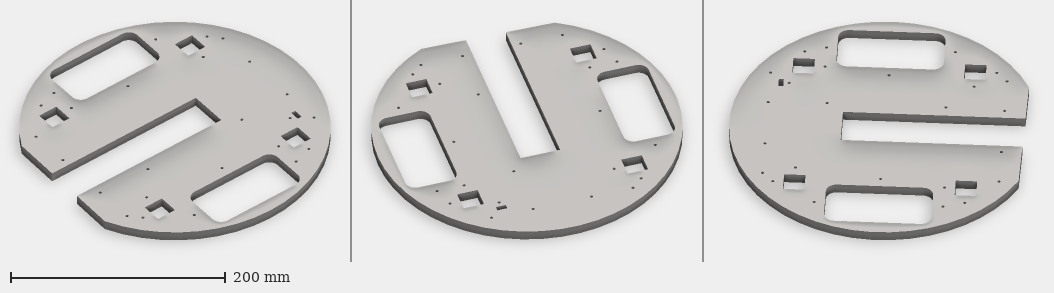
import cadquery as cq
import math

disc_radius = 145.0
thickness = 10.0

flat_left_y = -128.5
flat_right_y = -131.0

slot_width = 38.5
slot_center_x = -0.5
slot_end_y = 40.0

window_width = 50.0
window_length = 100.0
window_corner_radius = 10.0
window_center_x = 106.5

square_size = 20.0
square_offset = 80.0
square_hole_distance = 20.0

notch_width = 10.0
notch_height = 4.5
notch_x = 56.0
notch_y = 99.8
notch_hole_y = 92.2

hole_diameter = 3.0
row_y = 110.2
row_inner_x = 28.5
row_outer_x = 69.0
window_hole_x = 106.5
window_hole_y = 60.0
axis_hole_x = 71.3
slot_hole_x = 30.2
slot_hole_y = 55.5


def cutter(points):
    """Workplane on the bottom face of the disc with the given points selected."""
    return cq.Workplane("XY").workplane(offset=-thickness / 2).pushPoints(points)


def make_blank():
    """Disc with the flat cut along a chord; thickness centered on Z = 0."""
    left_x = -math.sqrt(disc_radius**2 - flat_left_y**2)
    right_x = math.sqrt(disc_radius**2 - flat_right_y**2)
    return (
        cq.Workplane("XY")
        .moveTo(left_x, flat_left_y)
        .threePointArc((0, disc_radius), (right_x, flat_right_y))
        .close()
        .extrude(thickness / 2, both=True)
    )


def make_slot():
    """Box from the slot end out past the rim."""
    length = slot_end_y + disc_radius
    center_y = slot_end_y - length / 2
    return cutter([(slot_center_x, center_y)]).rect(slot_width, length).extrude(thickness)


def make_windows():
    centers = [(-window_center_x, 0), (window_center_x, 0)]
    boxes = cutter(centers).rect(window_width, window_length).extrude(thickness)
    return boxes.edges("|Z").fillet(window_corner_radius)


def square_holes():
    """Two holes beside each square; the pattern turns by 90 degrees per square."""
    first_pair = [
        (square_offset + square_hole_distance, square_offset),
        (square_offset, square_offset - square_hole_distance),
    ]
    points = []
    for x, y in first_pair:
        points += [(x, y), (-y, x), (-x, -y), (y, -x)]
    return points


def hole_points():
    points = square_holes()
    for side in (-1, 1):
        points.append((side * axis_hole_x, 0))
        points.append((slot_hole_x, side * slot_hole_y))
        for end in (-1, 1):
            points.append((side * row_inner_x, end * row_y))
            points.append((side * row_outer_x, end * row_y))
            points.append((side * window_hole_x, end * window_hole_y))
    points.append((notch_x, notch_hole_y))
    return points


square_centers = [(x, y) for x in (-square_offset, square_offset) for y in (-square_offset, square_offset)]
squares = cutter(square_centers).rect(square_size, square_size).extrude(thickness)
notch = cutter([(notch_x, notch_y)]).rect(notch_width, notch_height).extrude(thickness)
holes = cutter(hole_points()).circle(hole_diameter / 2).extrude(thickness)

result = make_blank()
for opening in (make_slot(), make_windows(), squares, notch, holes):
    result = result.cut(opening)